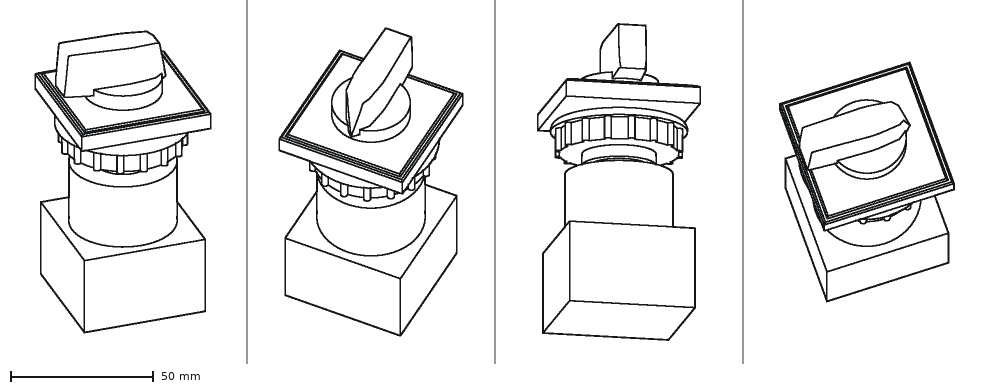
import cadquery as cq
import math


block_side = 45.0
block_height = 28.8
barrel_diameter = 38.0
barrel_height = 24.1

neck_diameter = 20.0
neck_height = 3.1
collar_diameter = 26.0
collar_height = 4.2

nut_diameter = 42.0
nut_grip_height = 8.0
flange_diameter = 48.0
flange_rim_height = 0.9
flange_dome_height = 2.2
rib_count = 16
rib_radius = 1.2
rib_circle_radius = 21.4

sleeve_diameter = 22.0
sleeve_gap = 2.3
bezel_side = flange_diameter
bezel_edge_height = 5.8
bezel_chamfer = 0.6
bezel_ledge = 1.0

disc_diameter = 27.5
disc_height = 5.7
total_height = 101.5
handle_drop = 2.4

tip_y = 15.9
tip_kink_half_width = 2.2
shoulder_y, shoulder_half_width = 10.5, 4.6
bulge_front_y, bulge_front_half_width = 2.7, 5.5
bulge_mid_y, bulge_mid_half_width = 0.7, 5.6
bulge_rear_y, bulge_rear_half_width = -1.3, 5.6
tail_kink_half_width = 5.2
tail_y, tail_half_width = -23.5, 4.9

tip_slope_top_y = 12.6
tip_slope_top_drop = 2.5
shoulder_drop = 1.2
top_flat_start_y = -19.8
tail_top_y = -22.1
tail_bottom_rise = 1.2
handle_edge_radius = 0.7

barrel_z = block_height
neck_z = barrel_z + barrel_height
collar_z = neck_z + neck_height
nut_z = collar_z + collar_height
flange_z = nut_z + nut_grip_height
nut_top_z = flange_z + flange_rim_height + flange_dome_height
bezel_z = nut_top_z + sleeve_gap
bezel_top_z = bezel_z + bezel_edge_height + 2 * bezel_chamfer
disc_top_z = bezel_top_z + disc_height
handle_bottom_z = disc_top_z - handle_drop


def cylinder(diameter, height, base_z):
    return cq.Workplane("XY", origin=(0, 0, base_z)).circle(diameter / 2).extrude(height)


def square_plate(side, height, base_z):
    return cq.Workplane("XY", origin=(0, 0, base_z)).rect(side, side).extrude(height)


def make_block():
    return square_plate(block_side, block_height, 0)


def make_barrel():
    return cylinder(barrel_diameter, barrel_height, barrel_z)


def make_neck():
    return cylinder(neck_diameter, neck_height, neck_z)


def make_collar():
    return cylinder(collar_diameter, collar_height, collar_z)


def make_nut():
    grip = cylinder(nut_diameter, nut_grip_height, nut_z)
    ribs = (
        cq.Workplane("XY", origin=(0, 0, nut_z))
        .polarArray(rib_circle_radius, 0, 360, rib_count)
        .circle(rib_radius)
        .extrude(nut_grip_height)
    )
    rim_radius = flange_diameter / 2
    top_radius = nut_diameter / 2
    rim_top_z = flange_z + flange_rim_height
    diagonal = math.sqrt(0.5)
    dome_middle = (
        top_radius + (rim_radius - top_radius) * diagonal,
        rim_top_z + flange_dome_height * diagonal,
    )
    flange = (
        cq.Workplane("XZ")
        .moveTo(0, flange_z)
        .lineTo(rim_radius, flange_z)
        .lineTo(rim_radius, rim_top_z)
        .threePointArc(dome_middle, (top_radius, nut_top_z))
        .lineTo(0, nut_top_z)
        .close()
        .revolve(360, (0, 0, 0), (0, 1, 0))
    )
    bore = cylinder(sleeve_diameter, nut_top_z - nut_z, nut_z)
    return grip.union(ribs).union(flange).cut(bore)


def make_bezel():
    lower_height = bezel_edge_height + bezel_chamfer
    lower = square_plate(bezel_side, lower_height, bezel_z).faces(">Z").chamfer(bezel_chamfer)
    upper_side = bezel_side - 2 * (bezel_chamfer + bezel_ledge)
    upper = (
        cq.Workplane("XY", origin=(0, 0, bezel_z + lower_height))
        .rect(upper_side, upper_side)
        .extrude(bezel_chamfer, taper=45)
    )
    sleeve = cylinder(sleeve_diameter, bezel_z - nut_z, nut_z)
    return lower.union(upper).union(sleeve)


def disc_edge_y(half_width):
    """Distance from the axis along Y to the disc edge, at a distance half_width along X."""
    return math.sqrt((disc_diameter / 2) ** 2 - half_width**2)


def handle_prism():
    tip_kink_y = disc_edge_y(tip_kink_half_width)
    tail_kink_y = -disc_edge_y(tail_kink_half_width)
    half = (
        cq.Workplane("XY", origin=(0, 0, handle_bottom_z))
        .moveTo(0, tip_y)
        .lineTo(tip_kink_half_width, tip_kink_y)
        .lineTo(shoulder_half_width, shoulder_y)
        .lineTo(bulge_front_half_width, bulge_front_y)
        .threePointArc((bulge_mid_half_width, bulge_mid_y), (bulge_rear_half_width, bulge_rear_y))
        .lineTo(tail_kink_half_width, tail_kink_y)
        .lineTo(tail_half_width, tail_y)
        .lineTo(0, tail_y)
        .close()
        .extrude(total_height - handle_bottom_z)
    )
    shoulder = cq.selectors.NearestToPointSelector((shoulder_half_width, shoulder_y, disc_top_z))
    tail_corner = cq.selectors.NearestToPointSelector((tail_half_width, tail_y, disc_top_z))
    for corner in (shoulder, tail_corner):
        half = half.edges("|Z").edges(corner).fillet(handle_edge_radius)
    return half.union(half.mirror("YZ"))


def handle_side_profile():
    underside_start_y = -disc_edge_y(tail_kink_half_width)
    tip_slope_top_z = total_height - tip_slope_top_drop
    shoulder_z = total_height - shoulder_drop
    profile = (
        cq.Workplane("YZ", origin=(-disc_diameter / 2, 0, 0))
        .moveTo(tip_y, handle_bottom_z)
        .lineTo(tip_slope_top_y, tip_slope_top_z)
        .lineTo(shoulder_y, shoulder_z)
        .lineTo(top_flat_start_y, total_height)
        .lineTo(tail_top_y, total_height)
        .lineTo(tail_y, handle_bottom_z + tail_bottom_rise)
        .lineTo(underside_start_y, handle_bottom_z)
        .close()
        .extrude(disc_diameter)
    )
    rounded_places = [
        (tip_slope_top_y, tip_slope_top_z),
        (shoulder_y, shoulder_z),
        (tail_top_y, total_height),
    ]
    for y, z in rounded_places:
        edge = cq.selectors.NearestToPointSelector((0, y, z))
        profile = profile.edges("|X").edges(edge).fillet(handle_edge_radius)
    return profile


def make_knob():
    disc = cylinder(disc_diameter, disc_height, bezel_top_z)
    handle = handle_prism().intersect(handle_side_profile())
    return disc.union(handle)


block = make_block()
barrel = make_barrel()
neck = make_neck()
collar = make_collar()
nut = make_nut()
bezel = make_bezel()
knob = make_knob()

result = cq.Compound.makeCompound(
    [
        block.val(),
        barrel.val(),
        neck.val(),
        collar.val(),
        nut.val(),
        bezel.val(),
        knob.val(),
    ]
)